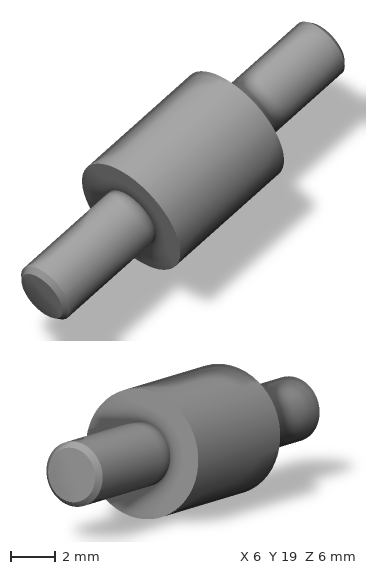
import cadquery as cq

total_length = 19.0
body_diameter = 6.0
body_length = 7.0
pin_diameter = body_diameter / 2
tip_chamfer = 0.25

pin_length = (total_length - body_length) / 2


def cylinder_along_y(diameter, length, start_y):
    """Cylinder on the Y axis, growing toward -Y from start_y."""
    return cq.Workplane("XZ", origin=(0, start_y, 0)).circle(diameter / 2).extrude(length)


body = cylinder_along_y(body_diameter, body_length, body_length / 2)

near_pin = cylinder_along_y(pin_diameter, pin_length, -body_length / 2).faces("<Y").chamfer(tip_chamfer)
far_pin = near_pin.mirror("XZ")

result = body.union(near_pin).union(far_pin)